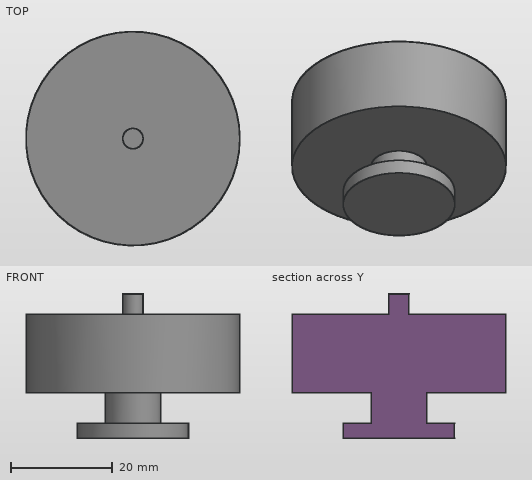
import cadquery as cq

flange_diameter = 22.0
neck_diameter = 11.0
body_diameter = 42.2
pin_diameter = 4.0

flange_height = 3.0
neck_height = 6.0
body_height = 15.5
pin_height = 4.0

stages = [
    (flange_diameter, flange_height),
    (neck_diameter, neck_height),
    (body_diameter, body_height),
    (pin_diameter, pin_height),
]


def stack_cylinders(stages):
    """Stack coaxial cylinders, each standing on the top face of the one below."""
    solid = cq.Workplane("XY")
    base_z = 0
    for diameter, height in stages:
        cylinder = cq.Workplane("XY").workplane(offset=base_z).circle(diameter / 2).extrude(height)
        solid = solid.add(cylinder)
        base_z += height
    return solid.combine()


result = stack_cylinders(stages)